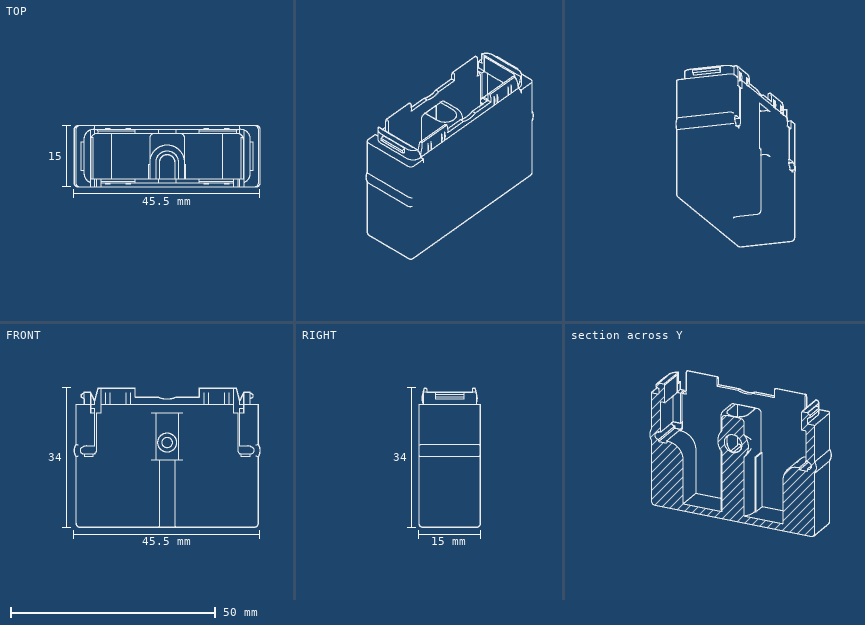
import cadquery as cq

width = 44.5
front_y = -7.515
back_y = 7.515
body_height = 30.0
total_height = 34.0
edge_radius = 1.0
middle_y = (front_y + back_y) / 2

wall = 2.0
inner_front_y = front_y + wall
inner_back_y = back_y - wall
floor_thickness = 2.0
arm_inner_x = 18.58
arm_corner_radius = 1.35
undercut_x = 19.7
lower_inner_x = 13.55
shoulder_x = 17.7
shoulder_radius = shoulder_x - lower_inner_x

hinge_x = 20.0
hinge_radius = 2.73
hinge_z = 18.75
slot_bottom = 17.9
slot_top = 19.9
slot_end_radius = 0.9
slot_end_x = 20.3
slit_inner_x = 17.25
groove_inner_x = 18.08
groove_outer_x = 20.2
groove_depth = 0.55
notch_outer_x = 18.7
notch_inner_x = 16.15
notch_bottom = 28.0

tab_outer_x = 20.25
tab_top = 33.0
tab_corner_radius = 2.35
tab_half_depth = 6.6
gap_bottom = 30.9
ridge_tip_x = 21.0
ridge_half_length = 3.5
ridge_bottom = 31.4
ridge_top = 32.9
ridge_tip_bottom = 31.8
ridge_tip_top = 32.45

plate_thickness = 1.0
plate_root_z = slot_top
rim_z = 31.8
raised_x = 7.8
back_plate_top_x = 16.9
bevel_bottom = 32.97
bevel_inset = 0.3
plate_round = 0.4
dip_half_width = 2.15
dip_depth = 0.45
bump_centres = (9.55, 14.55)
bump_width = 1.1
bump_bottom = 30.3
bump_top = 32.75
bump_height = 0.23

channel_centre_y = -1.5
channel_radius = 1.85
pocket_radius = 2.75
pocket_floor = 16.5
boss_radius = 4.22
boss_top = notch_bottom
boss_root_z = floor_thickness / 2
boss_base_half_width = 4.5
boss_base_back_y = -2.0
channel_mouth_radius = 0.5
select_margin = 0.05
hole_z = 20.7
counterbore_radius = 2.3
counterbore_depth = 1.5
hole_radius = 1.25
counterbore_end = channel_centre_y + pocket_radius + counterbore_depth

pin_length = 2.0


def block(x0, x1, y0, y1, z0, z1):
    return cq.Workplane("XY").box(x1 - x0, y1 - y0, z1 - z0, centered=False).translate((x0, y0, z0))


def both_ends(shape):
    """The left-hand shape together with its mirror image at the right-hand end."""
    return shape.union(shape.mirror("YZ"))


def extrude_along_y(sketch, y0, y1):
    """Extrude a closed XZ outline from y0 to y1."""
    return sketch.extrude(y0 - y1).translate((0, y0, 0))


def cylinder_along_y(x, z, radius, y0, y1):
    return extrude_along_y(cq.Workplane("XZ").center(x, z).circle(radius), y0, y1)


def inside_block(half_width, z0, z1):
    """Symmetric block between the inner faces of the long walls."""
    return block(-half_width, half_width, inner_front_y, inner_back_y, z0, z1)


def u_column(radius, z0, z1, front):
    """Upright column with a U section: round toward the back, straight to the front."""
    column = (
        cq.Workplane("XY").center(0, channel_centre_y).circle(radius).extrude(z1 - z0).translate((0, 0, z0))
    )
    return column.union(block(-radius, radius, front, channel_centre_y, z0, z1))


def make_shell():
    shell = block(-width / 2, width / 2, front_y, back_y, 0, body_height)
    shell = shell.edges("|Z").fillet(edge_radius).faces("<Z").edges().fillet(edge_radius)
    back_edge = block(-shoulder_x, shoulder_x, back_y - edge_radius, back_y,
                      body_height - edge_radius, body_height)
    back_edge = back_edge.cut(
        cq.Workplane("YZ", (-shoulder_x, 0, 0)).center(back_y - edge_radius, body_height - edge_radius)
        .circle(edge_radius).extrude(2 * shoulder_x)
    )
    hinge = cylinder_along_y(-hinge_x, hinge_z, hinge_radius, front_y, back_y)
    hinge = hinge.edges().fillet(edge_radius)
    return shell.cut(back_edge).union(both_ends(hinge))


def make_cavity():
    """Inside space: wide between the arms, narrowing over rounded shoulders to the floor."""
    upper = inside_block(arm_inner_x, notch_bottom, total_height)
    upper = upper.edges("|Z and >Y").fillet(arm_corner_radius)
    upper = upper.union(inside_block(shoulder_x, notch_bottom, total_height))
    undercut = inside_block(undercut_x, slot_bottom, notch_bottom)
    corner_recess = inside_block(arm_inner_x, body_height - edge_radius, body_height)
    lower = inside_block(shoulder_x, floor_thickness, slot_bottom)
    end_wall = (
        cq.Workplane("XZ").moveTo(-shoulder_x, 0).lineTo(-shoulder_x, slot_bottom)
        .radiusArc((-lower_inner_x, slot_bottom - shoulder_radius), shoulder_radius)
        .lineTo(-lower_inner_x, 0).close()
    )
    end_wall = extrude_along_y(end_wall, inner_front_y, inner_back_y)
    lower = lower.cut(both_ends(end_wall))
    return upper.union(undercut).union(corner_recess).union(lower)


def make_tab():
    """Left-hand latch tab with its snap ridge."""
    tab = block(-tab_outer_x, -shoulder_x, middle_y - tab_half_depth, middle_y + tab_half_depth,
                slot_top, tab_top)
    tab = tab.edges("|Z and <X").fillet(tab_corner_radius)
    ridge = cq.Workplane("XZ").polyline([
        (-tab_outer_x, ridge_bottom), (-ridge_tip_x, ridge_tip_bottom),
        (-ridge_tip_x, ridge_tip_top), (-tab_outer_x, ridge_top),
    ]).close()
    ridge = extrude_along_y(ridge, middle_y - ridge_half_length, middle_y + ridge_half_length)
    slope = cq.Workplane("XZ").polyline([
        (-notch_outer_x, tab_top), (-shoulder_x, gap_bottom), (-shoulder_x, tab_top),
    ]).close()
    return tab.union(ridge).cut(extrude_along_y(slope, front_y, back_y))


def make_slits():
    """Left-hand L slit, hinge slot, groove and corner notch, all open at the front."""
    slit = block(-shoulder_x, -slit_inner_x, front_y, inner_front_y, slot_top, body_height)
    slot = block(-slot_end_x, -slit_inner_x, front_y, inner_back_y, slot_bottom, slot_top)
    slot = slot.edges("|Y and >X and <Z").fillet(slot_end_radius)
    slot_end = cylinder_along_y(-slot_end_x, slot_bottom + slot_end_radius, slot_end_radius,
                                front_y, inner_back_y)
    groove = block(-groove_outer_x, -groove_inner_x, front_y, inner_back_y - edge_radius,
                   slot_bottom - groove_depth, slot_bottom)
    notch = block(-notch_outer_x, -notch_inner_x, front_y, inner_front_y, notch_bottom, total_height)
    return slit.union(slot).union(slot_end).union(groove).union(notch)


def make_plate(half_width, half_width_top):
    """Rim plate in the back position: outer face bevelled, inner top edge rounded."""
    inner = inner_back_y
    outer = inner + plate_thickness
    section = (
        cq.Workplane("YZ").moveTo(inner, plate_root_z).lineTo(outer, plate_root_z).lineTo(outer, bevel_bottom)
        .lineTo(outer - bevel_inset, total_height).lineTo(inner + plate_round, total_height)
        .radiusArc((inner, total_height - plate_round), -plate_round).close()
        .extrude(half_width, both=True)
    )
    outline = (
        cq.Workplane("XZ").moveTo(-half_width, plate_root_z).lineTo(half_width, plate_root_z)
        .lineTo(half_width, gap_bottom).lineTo(half_width_top, total_height)
        .lineTo(raised_x, total_height).lineTo(raised_x, rim_z).lineTo(dip_half_width, rim_z)
        .threePointArc((0, rim_z - dip_depth), (-dip_half_width, rim_z))
        .lineTo(-raised_x, rim_z).lineTo(-raised_x, total_height).lineTo(-half_width_top, total_height)
        .lineTo(-half_width, gap_bottom).close()
    )
    plate = section.intersect(extrude_along_y(outline, inner, outer))
    for centre in bump_centres:
        for side in (-1, 1):
            bump = (
                cq.Workplane("YZ").moveTo(outer, bump_bottom)
                .threePointArc((outer + bump_height, (bump_bottom + bump_top) / 2), (outer, bump_top))
                .close().extrude(bump_width / 2, both=True).translate((side * centre, 0, 0))
            )
            plate = plate.union(bump)
    return plate


def make_boss():
    """U boss around the cable channel and the round boss that joins it to the back wall."""
    upright = u_column(boss_radius, boss_root_z, boss_top, front_y + edge_radius)
    upright = upright.faces(">Z").edges("not <Y").fillet(edge_radius)
    base = block(-boss_base_half_width, boss_base_half_width, inner_front_y, boss_base_back_y,
                 boss_root_z, pocket_floor)
    level = cylinder_along_y(0, hole_z, boss_radius, channel_centre_y, inner_back_y)
    level = level.faces(">Y").edges().fillet(edge_radius)
    return upright.union(base).union(level)


def flared_opening(half_width, z0, z1):
    """Opening through the front wall with rounded upright outer edges."""
    flare = block(-half_width - edge_radius, half_width + edge_radius,
                  front_y, front_y + edge_radius, z0, z1)
    for side in (-1, 1):
        lip = (
            cq.Workplane("XY").center(side * (half_width + edge_radius), front_y + edge_radius)
            .circle(edge_radius).extrude(z1 - z0).translate((0, 0, z0))
        )
        flare = flare.cut(lip)
    return flare


def make_channel():
    channel = u_column(channel_radius, 0, pocket_floor, front_y)
    channel = channel.union(flared_opening(channel_radius, 0, pocket_floor))
    pocket = u_column(pocket_radius, pocket_floor, boss_top, front_y)
    pocket = pocket.union(flared_opening(pocket_radius, pocket_floor, boss_top))
    counterbore = cylinder_along_y(0, hole_z, counterbore_radius, channel_centre_y, counterbore_end)
    hole = cylinder_along_y(0, hole_z, hole_radius, counterbore_end, counterbore_end + pin_length)
    return channel.union(pocket).union(counterbore).union(hole)


def round_channel_mouth(housing):
    """Round the edge where the cable channel opens in the underside, behind the flared front."""
    mouth = cq.selectors.BoxSelector(
        (-channel_radius - select_margin, front_y + edge_radius + select_margin, -select_margin),
        (channel_radius + select_margin, channel_centre_y + channel_radius + select_margin, select_margin),
    )
    return housing.edges(mouth).fillet(channel_mouth_radius)


def make_housing():
    housing = make_shell().union(both_ends(make_tab())).cut(make_cavity())
    housing = housing.union(make_plate(shoulder_x, back_plate_top_x))
    front_plate = make_plate(notch_inner_x, notch_inner_x).mirror("XZ", (0, middle_y, 0))
    housing = housing.union(front_plate).cut(both_ends(make_slits()))
    housing = housing.union(make_boss()).cut(make_channel()).clean()
    return round_channel_mouth(housing)


def make_pin():
    """Plain pin that fills the hole behind the counterbore, flush with the counterbore floor."""
    return cylinder_along_y(0, hole_z, hole_radius, counterbore_end, counterbore_end + pin_length)


housing = make_housing()
pin = make_pin()

result = cq.Compound.makeCompound([housing.val(), pin.val()])